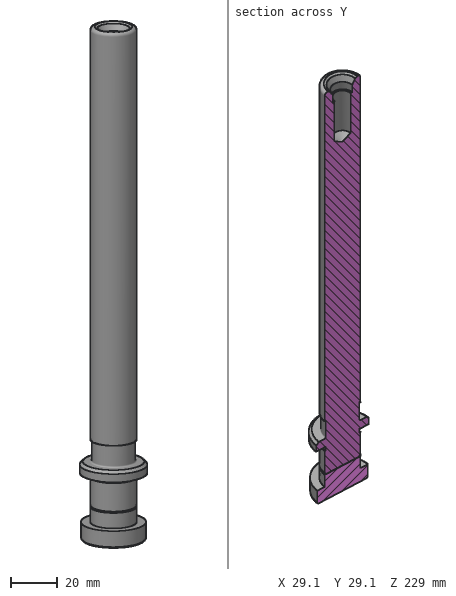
import cadquery as cq
import math

total_height = 229.0
shaft_radius = 9.96

cap_flange_radius = 14.0
cap_flange_height = 7.8
cap_height = 14.7
cap_chamfer = 0.7

foot_chamfer = 0.7
neck_radius = 9.5
foot_top = 28.0
collar_radius = 14.55
collar_bottom = 29.8
collar_top = 34.8
collar_chamfer = 1.4
collar_fillet = 0.7
shaft_bottom = 44.7
tip_fillet = 1.5

mouth_radius = 8.0
mouth_angle = 120.0
cone_radius = 6.9
cone_angle = 60.0
clearance_radius = 5.3
clearance_depth = 7.5
core_radius = 4.4
core_depth = 30.0
drill_point_angle = 120.0


def cone_depth(large_radius, small_radius, included_angle):
    """Axial length of a cone between two radii."""
    return (large_radius - small_radius) / math.tan(math.radians(included_angle / 2))


def make_end_cap():
    flange = (
        cq.Workplane("XY")
        .circle(cap_flange_radius)
        .extrude(cap_flange_height)
        .faces("<Z")
        .chamfer(cap_chamfer)
    )
    hub = cq.Workplane("XY").circle(shaft_radius).extrude(cap_height)
    return flange.union(hub)


def make_centre_hole():
    mouth_bottom = total_height - cone_depth(mouth_radius, cone_radius, mouth_angle)
    cone_bottom = mouth_bottom - cone_depth(cone_radius, clearance_radius, cone_angle)
    clearance_bottom = total_height - clearance_depth
    core_bottom = total_height - core_depth
    point_bottom = core_bottom - cone_depth(core_radius, 0, drill_point_angle)
    return (
        cq.Workplane("XZ")
        .moveTo(0, total_height)
        .lineTo(mouth_radius, total_height)
        .lineTo(cone_radius, mouth_bottom)
        .lineTo(clearance_radius, cone_bottom)
        .lineTo(clearance_radius, clearance_bottom)
        .lineTo(core_radius, clearance_bottom)
        .lineTo(core_radius, core_bottom)
        .lineTo(0, point_bottom)
        .close()
        .revolve(360, (0, 0, 0), (0, 1, 0))
    )


def make_pillar():
    fillet_mid = collar_fillet * (1 - math.sqrt(0.5))
    tip_mid = tip_fillet * (1 - math.sqrt(0.5))
    body = (
        cq.Workplane("XZ")
        .moveTo(0, cap_height)
        .lineTo(shaft_radius - foot_chamfer, cap_height)
        .lineTo(shaft_radius, cap_height + foot_chamfer)
        .lineTo(shaft_radius, foot_top)
        .lineTo(neck_radius, foot_top)
        .lineTo(neck_radius, collar_bottom)
        .lineTo(collar_radius, collar_bottom)
        .lineTo(collar_radius, collar_top - collar_chamfer)
        .lineTo(collar_radius - collar_chamfer, collar_top)
        .lineTo(neck_radius + collar_fillet, collar_top)
        .threePointArc(
            (neck_radius + fillet_mid, collar_top + fillet_mid),
            (neck_radius, collar_top + collar_fillet),
        )
        .lineTo(neck_radius, shaft_bottom)
        .lineTo(shaft_radius, shaft_bottom)
        .lineTo(shaft_radius, total_height - tip_fillet)
        .threePointArc(
            (shaft_radius - tip_mid, total_height - tip_mid),
            (shaft_radius - tip_fillet, total_height),
        )
        .lineTo(0, total_height)
        .close()
        .revolve(360, (0, 0, 0), (0, 1, 0))
    )
    return body.cut(make_centre_hole())


end_cap = make_end_cap()
pillar = make_pillar()
result = cq.Compound.makeCompound([end_cap.val(), pillar.val()])